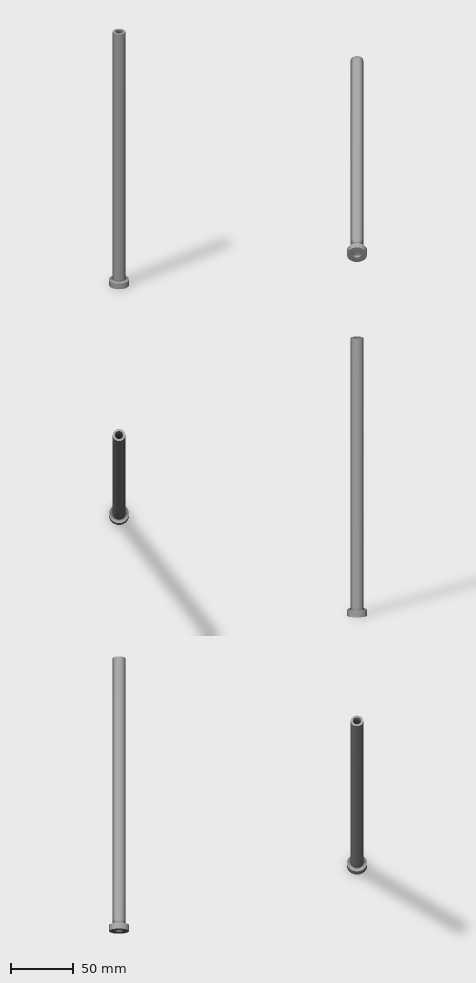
import cadquery as cq

total_length = 225.0
head_diameter = 16.0
head_height = 5.0
tube_diameter = 10.0
bore_diameter = 6.5
neck_fillet_radius = 0.5


def cylinder(diameter, height):
    """Upright cylinder on the Z axis, standing on the bottom face of the head."""
    return cq.Workplane("XY").circle(diameter / 2).extrude(height)


def make_body():
    """Solid head with the solid tube rising through it."""
    head = cylinder(head_diameter, head_height)
    tube = cylinder(tube_diameter, total_length)
    return head.union(tube)


def fillet_neck(body):
    """Round the inner corner where the tube meets the head."""
    head_top_centre = (0, 0, head_height)
    smallest_radius = cq.selectors.RadiusNthSelector(0)
    head_top = body.faces("%PLANE").faces(cq.selectors.NearestToPointSelector(head_top_centre))
    return head_top.edges(smallest_radius).fillet(neck_fillet_radius)


def cut_bore(body):
    """Bore the sleeve straight through from end to end."""
    return body.cut(cylinder(bore_diameter, total_length))


result = cut_bore(fillet_neck(make_body()))